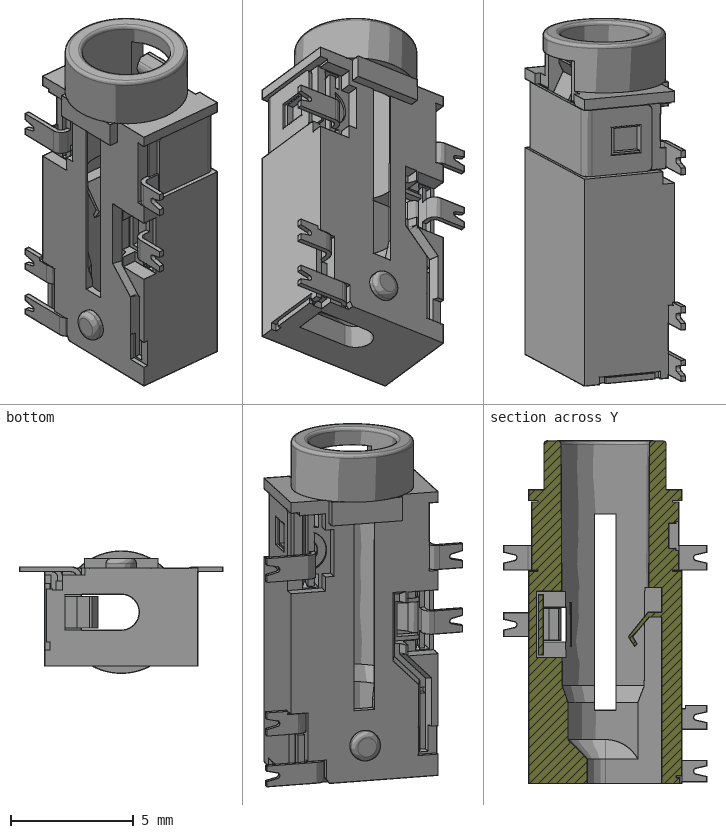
import cadquery as cq
import math


HALF_W = 3.125
FRONT_Y = -1.8
BACK_Y = 2.2
TOTAL_H = 14.0
FLANGE_TOP = 12.0
FLANGE_BOTTOM = 11.55
NECK_BOTTOM = 8.67
NECK_HALF_W = 2.75
NECK_BACK_Y = 2.0

COLLAR_R = 2.5
COLLAR_EDGE = 0.15
BORE_R = 1.8
BORE_LOW_R = 1.75
SEAT_R = 1.52
TIP_R = 0.73
SEAT_CONE_TOP = 4.0
SEAT_CONE_BOTTOM = 3.32
TIP_CONE_TOP = 1.8
TIP_CONE_BOTTOM = TIP_CONE_TOP - (SEAT_R - TIP_R)
SLIT_LEFT = -2.3
SLIT_TOP = 8.0

BACK_FLAT_Y = 1.97
BACK_NOTCH_TOP = 13.25
BACK_NOTCH_HALF_W = 2.04
WINDOW_HALF_W = 1.2
WINDOW_BOTTOM = 11.0
WINDOW_START_Y = 1.0

PROUD_Y = -2.2
ROOT_OVERLAP = 0.2
BLOCK_HALF_W = 1.5
BLOCK_BOTTOM = 11.0
PEG_Z = 1.52
PEG_R = 0.62
PEG_EDGE = 0.22
SLOT_HALF_W = 0.435
SLOT_BOTTOM = 3.0
SLOT_END_Y = -1.0

LEAD_IN = 0.17
LEAD_IN_DEPTH = 0.35
LEAD_IN_ANGLE = math.degrees(math.atan(LEAD_IN / LEAD_IN_DEPTH))

SHELF_Y = -1.28
MID_SHELF_Y = -1.15
LOW_SHELF_Y = -1.52
LOW_SLOT_Y = -0.9

CHANNEL_LEFT = 1.2
CHANNEL_RIGHT = 1.76
CHANNEL_TOP = 7.88
CHANNEL_BOTTOM = 0.9
CHANNEL_BEND_Z = 5.0
CHANNEL_JOG = 1.09

CLIP_X = 3.0
CLIP_BACK_Y = 2.15
CLIP_FRONT_Y = -0.84
CLIP_LEG_X = 2.85
CLIP_HOOK_TOP = 9.6
CLIP_BOTTOM = 8.72
CLIP_TOP = 11.5
CLIP_BACK_BEND_R = 0.35
CLIP_CORNER_R = 0.2

SHEET = 0.2
PIN_REACH = 4.15
PIN_FRONT_Y = -1.85
BEND_R = 0.42
FORK_HALF_W = 0.22
FORK_ROOT_HALF_W = 0.12
FORK_STRAIGHT = 0.42
FORK_DEPTH = 0.54
LEG_END_Y = 0.1
UPPER_PIN_Z = (8.72, 9.73)
UPPER_LEFT_LEG_X = 1.98
UPPER_RIGHT_LEG_X = 2.74
MID_PIN_Z = (6.0, 6.98)
MID_LEG_X = 2.53
LOW_PIN_Z = (2.22, 3.2)
LOW_LEG_X = 2.4
BOTTOM_PIN_Z = (0.07, 0.95)
BOTTOM_LEG_X = 1.62


def box(x0, x1, y0, y1, z0, z1):
    """Axis-aligned block between two opposite corners."""
    return cq.Workplane("XY").box(x1 - x0, y1 - y0, z1 - z0, centered=False).translate((x0, y0, z0))


def front_prism(points, y0, y1):
    """Extrude an X-Z outline between two Y positions."""
    return cq.Workplane("XZ", origin=(0, y1, 0)).polyline(points).close().extrude(y1 - y0)


def front_disc(x, z, radius, y0, y1):
    """Cylinder along Y between two Y positions."""
    return cq.Workplane("XZ", origin=(x, y1, z)).circle(radius).extrude(y1 - y0)


def lead_in(points, face_y):
    """Recess with sloping sides sunk from face_y, following an X-Z outline."""
    outline = cq.Workplane("XZ", origin=(0, face_y, 0)).polyline(points).close()
    return outline.extrude(-LEAD_IN_DEPTH, taper=LEAD_IN_ANGLE)


def slot_lead_in(x0, x1, z0, z1, face_y):
    """Rectangular recess with sloping sides."""
    return lead_in([(x0, z0), (x1, z0), (x1, z1), (x0, z1)], face_y)


def make_shell():
    """Main block, necked-in clip seat, flange, collar, front block and peg, before boring."""
    shell = box(-HALF_W, HALF_W, FRONT_Y, BACK_Y, 0, FLANGE_TOP)
    neck_band = box(-HALF_W, HALF_W, FRONT_Y, BACK_Y, NECK_BOTTOM, FLANGE_BOTTOM)
    neck = box(-NECK_HALF_W, NECK_HALF_W, FRONT_Y, NECK_BACK_Y, NECK_BOTTOM, FLANGE_BOTTOM)
    shell = shell.cut(neck_band.cut(neck))

    collar = cq.Workplane("XY").workplane(offset=FLANGE_TOP).circle(COLLAR_R).extrude(TOTAL_H - FLANGE_TOP)
    collar = collar.faces(">Z").edges().fillet(COLLAR_EDGE)

    root_y = FRONT_Y + ROOT_OVERLAP
    block = box(-BLOCK_HALF_W, BLOCK_HALF_W, PROUD_Y, root_y, BLOCK_BOTTOM, FLANGE_TOP)
    peg = front_disc(0, PEG_Z, PEG_R, PROUD_Y, root_y)
    peg = peg.faces("<Y").edges().fillet(PEG_EDGE)
    return shell.union(collar).union(block).union(peg)


def cut_bore(body):
    """Stepped plug bore with a rounded mouth, and the side slit and funnel at its lower end."""
    bore = (
        cq.Workplane("XZ")
        .moveTo(0, TOTAL_H)
        .lineTo(BORE_R + COLLAR_EDGE, TOTAL_H)
        .radiusArc((BORE_R, TOTAL_H - COLLAR_EDGE), -COLLAR_EDGE)
        .lineTo(BORE_LOW_R, SEAT_CONE_TOP)
        .lineTo(SEAT_R, SEAT_CONE_BOTTOM)
        .lineTo(SEAT_R, TIP_CONE_TOP)
        .lineTo(TIP_R, TIP_CONE_BOTTOM)
        .lineTo(TIP_R, 0)
        .lineTo(0, 0)
        .close()
        .revolve(360, (0, 0, 0), (0, 1, 0))
    )
    funnel_profile = [
        (-SEAT_R, TIP_CONE_TOP),
        (-TIP_R, TIP_CONE_BOTTOM),
        (TIP_R, TIP_CONE_BOTTOM),
        (SEAT_R, TIP_CONE_TOP),
    ]
    funnel = cq.Workplane("YZ", origin=(-SEAT_R, 0, 0)).polyline(funnel_profile).close().extrude(SEAT_R)
    seat = cq.Workplane("XY").circle(SEAT_R).extrude(TIP_CONE_TOP)
    slit = box(SLIT_LEFT, 0, -TIP_R, TIP_R, 0, SLIT_TOP)
    return body.cut(bore).cut(funnel.intersect(seat)).cut(slit)


def cut_bore_openings(body):
    """Long slot through the front wall, and the flat and window at the back of the collar."""
    slot = box(-SLOT_HALF_W, SLOT_HALF_W, FRONT_Y, SLOT_END_Y, SLOT_BOTTOM, BLOCK_BOTTOM)
    notch_w = BACK_NOTCH_HALF_W
    notch = box(-notch_w, notch_w, BACK_FLAT_Y, COLLAR_R, FLANGE_BOTTOM, BACK_NOTCH_TOP)
    window_w = WINDOW_HALF_W
    window = box(-window_w, window_w, WINDOW_START_Y, COLLAR_R, WINDOW_BOTTOM, BACK_NOTCH_TOP)
    return body.cut(slot).cut(notch).cut(window)


def cut_upper_left_pocket(body):
    """Stepped pocket around the upper left contact, with a two-step dimple in its side bay."""
    z_bottom = 8.15
    z_top = 11.42
    right_x = -1.66
    pocket = box(-HALF_W, right_x, FRONT_Y, SHELF_Y, z_bottom, z_top)
    bay_right_x = -1.29
    bay_z = (8.75, 10.73)
    bay = box(-UPPER_LEFT_LEG_X, bay_right_x, FRONT_Y, SHELF_Y, *bay_z)
    body = body.cut(pocket).cut(bay)

    dimple_x = -2.28
    dimple_z = 9.74
    dimple_steps = [(0.82, 0.1), (0.47, 0.2)]
    for radius, depth in dimple_steps:
        dimple = front_disc(dimple_x, dimple_z, radius, SHELF_Y, SHELF_Y + depth)
        body = body.cut(dimple.intersect(bay.translate((0, depth, 0))))

    slot_x = (-2.49, -1.8)
    slot_margin = 0.05
    slot = slot_lead_in(*slot_x, z_bottom + slot_margin, z_top - slot_margin, SHELF_Y)
    return body.cut(slot.cut(bay.translate((0, LEAD_IN_DEPTH, 0))))


def cut_lower_left_pockets(body):
    """Corner recesses for the two lower left pins, with a narrow slot for the contact leg."""
    low_top = 3.05
    bottom_top = 1.0
    slot_left_x = -2.86
    low = box(-HALF_W, -LOW_LEG_X, FRONT_Y, LOW_SHELF_Y, 0, low_top)
    slot = box(slot_left_x, -LOW_LEG_X, FRONT_Y, LOW_SLOT_Y, 0, low_top)
    bottom = box(-HALF_W, -BOTTOM_LEG_X, FRONT_Y, LOW_SHELF_Y, 0, bottom_top)
    relief_w = 0.14
    relief_h = 0.2
    relief_outline = [(-BOTTOM_LEG_X, 0), (relief_w - BOTTOM_LEG_X, 0), (-BOTTOM_LEG_X, relief_h)]
    relief = front_prism(relief_outline, FRONT_Y, LOW_SHELF_Y)
    return body.cut(low).cut(slot).cut(bottom).cut(relief)


def add_foot(body):
    """Recess at the bottom of the left side, with a slightly sunken foot plate in it."""
    recess = box(-HALF_W, -2.9, -1.17, 1.54, 0, 0.32)
    foot = box(-3.05, -2.8, -0.95, 1.22, 0, 0.25)
    return body.cut(recess).union(foot)


def channel_outline():
    """Cranked X-Z outline: down, 45 degrees to the right, then down again at constant width."""
    miter = math.tan(math.radians(22.5))
    right_bend_z = CHANNEL_BEND_Z + miter * (CHANNEL_RIGHT - CHANNEL_LEFT)
    return [
        (CHANNEL_LEFT, CHANNEL_TOP),
        (CHANNEL_LEFT, CHANNEL_BEND_Z),
        (CHANNEL_LEFT + CHANNEL_JOG, CHANNEL_BEND_Z - CHANNEL_JOG),
        (CHANNEL_LEFT + CHANNEL_JOG, CHANNEL_BOTTOM),
        (CHANNEL_RIGHT + CHANNEL_JOG, CHANNEL_BOTTOM),
        (CHANNEL_RIGHT + CHANNEL_JOG, right_bend_z - CHANNEL_JOG),
        (CHANNEL_RIGHT, right_bend_z),
        (CHANNEL_RIGHT, CHANNEL_TOP),
    ]


def cut_right_channel(body):
    """Cranked channel on the right, a small hole in its floor, and its open lower corner."""
    floor_y = FRONT_Y + LEAD_IN_DEPTH
    lower_left_x = CHANNEL_LEFT + CHANNEL_JOG
    lower_right_x = CHANNEL_RIGHT + CHANNEL_JOG
    hole_z = (3.43, 3.68)
    hole_depth = 0.3
    hole = box(lower_left_x + LEAD_IN, lower_right_x - LEAD_IN, floor_y, floor_y + hole_depth, *hole_z)
    corner_top = 2.1
    corner_depth = 0.2
    corner = box(lower_left_x, HALF_W, FRONT_Y, FRONT_Y + corner_depth, CHANNEL_BOTTOM, corner_top)
    return body.cut(lead_in(channel_outline(), FRONT_Y)).cut(hole).cut(corner)


def cut_mid_right_pocket(body):
    """Stepped pocket around the middle right contact, broken through into the bore."""
    z_bottom = 5.15
    z_top = 7.85
    pocket = box(1.84, HALF_W, FRONT_Y, MID_SHELF_Y, z_bottom, z_top)
    slot_margin = 0.04
    slot = slot_lead_in(2.36, 2.94, z_bottom + slot_margin, z_top - slot_margin, MID_SHELF_Y)
    bay_step = 0.1
    bay = box(1.39, MID_LEG_X, FRONT_Y, MID_SHELF_Y + bay_step, 5.61, 7.39)
    cavity_back_y = 1.0
    arm_window = box(1.6, MID_LEG_X, FRONT_Y, cavity_back_y, 5.79, 7.2)
    cavity = box(1.3, 2.8, -0.7, cavity_back_y, z_bottom, z_top)
    body = body.cut(pocket)
    body = body.cut(slot.cut(bay.translate((0, LEAD_IN_DEPTH, 0))))
    return body.cut(bay).cut(arm_window).cut(cavity)


def make_tongue():
    """Spring tongue rising from the clip back, bulging into the bore mouth."""
    half_w = 0.78
    z_root = 11.1
    z_tip = 12.88
    corner = 0.22
    profile = (
        cq.Workplane("YZ", origin=(-half_w, 0, 0))
        .moveTo(2.1, z_root)
        .lineTo(1.95, z_root)
        .lineTo(1.33, 12.0)
        .threePointArc((1.28, 12.25), (1.38, 12.5))
        .lineTo(1.62, z_tip)
        .lineTo(1.78, z_tip)
        .lineTo(1.5, 12.3)
        .close()
        .extrude(2 * half_w)
    )
    outline = [
        (-half_w, z_root),
        (half_w, z_root),
        (half_w, z_tip - corner),
        (half_w - corner, z_tip),
        (corner - half_w, z_tip),
        (-half_w, z_tip - corner),
    ]
    return profile.intersect(front_prism(outline, 0, BACK_Y))


def make_clip():
    """U-shaped steel clip round the neck, thinner at its front edges, with a hook and a tongue."""
    clip = box(-CLIP_X, CLIP_X, CLIP_FRONT_Y, CLIP_BACK_Y, CLIP_BOTTOM, CLIP_TOP)
    clip = clip.edges("|Z and >Y").fillet(CLIP_BACK_BEND_R)
    clip = clip.edges("|X and <Y").fillet(CLIP_CORNER_R)
    clip = clip.union(box(-CLIP_LEG_X, CLIP_LEG_X, SHELF_Y, 0, CLIP_BOTTOM, CLIP_TOP))
    clip = clip.cut(box(-NECK_HALF_W, NECK_HALF_W, SHELF_Y, NECK_BACK_Y, CLIP_BOTTOM, CLIP_TOP))
    hook = box(-CLIP_LEG_X, -NECK_HALF_W, LOW_SHELF_Y, 0, CLIP_BOTTOM, CLIP_HOOK_TOP)
    return clip.union(hook).union(make_tongue())


def cut_clip_window(body):
    """Square window in the left clip leg, with a smaller deeper pocket behind it."""
    front_y = -0.35
    window = box(-CLIP_X, -2.88, front_y, 0.95, 9.52, 10.7)
    pocket = box(-CLIP_X, -2.6, front_y, 0.78, 9.6, 10.62)
    return body.cut(window).cut(pocket)


def make_pin(side, face_x, z_range, leg_y):
    """Forked solder pin bent from a leg that runs back to leg_y; side is -1 for left, +1 for right.

    face_x is the distance from the mid-plane to the nearer face of the leg."""
    z0, z1 = z_range
    bend_x = face_x + BEND_R
    bend_y = PIN_FRONT_Y + BEND_R
    inner_r = BEND_R - SHEET
    strip = (
        cq.Workplane("XY", origin=(0, 0, z0))
        .moveTo(PIN_REACH, PIN_FRONT_Y)
        .lineTo(bend_x, PIN_FRONT_Y)
        .radiusArc((face_x, bend_y), BEND_R)
        .lineTo(face_x, leg_y)
        .lineTo(face_x + SHEET, leg_y)
        .lineTo(face_x + SHEET, bend_y)
        .radiusArc((bend_x, bend_y - inner_r), -inner_r)
        .lineTo(PIN_REACH, bend_y - inner_r)
        .close()
        .extrude(z1 - z0)
    )
    mid_z = (z0 + z1) / 2
    root_x = PIN_REACH - FORK_STRAIGHT
    fork = (
        cq.Workplane("XZ")
        .moveTo(PIN_REACH, mid_z - FORK_HALF_W)
        .lineTo(root_x, mid_z - FORK_ROOT_HALF_W)
        .threePointArc((PIN_REACH - FORK_DEPTH, mid_z), (root_x, mid_z + FORK_ROOT_HALF_W))
        .lineTo(PIN_REACH, mid_z + FORK_HALF_W)
        .close()
        .extrude(-PIN_FRONT_Y)
    )
    pin = strip.cut(fork)
    return pin if side > 0 else pin.mirror("YZ")


def make_upper_contacts():
    """Upper left contact with its tall leg plate, and the upper right pin of the clip."""
    left = make_pin(-1, UPPER_LEFT_LEG_X, UPPER_PIN_Z, LEG_END_Y)
    plate_left_x = -2.26
    plate_z = (8.25, 11.27)
    plate = box(plate_left_x, -UPPER_LEFT_LEG_X, SHELF_Y, LEG_END_Y, *plate_z)
    right_leg_y = -0.5
    right = make_pin(1, UPPER_RIGHT_LEG_X, UPPER_PIN_Z, right_leg_y)
    return left.union(plate).union(right)


def make_mid_contact():
    """Middle right contact: pin, leg plate and a spring arm bent towards the bore."""
    leg_back_x = MID_LEG_X + SHEET
    pin = make_pin(1, MID_LEG_X, MID_PIN_Z, LEG_END_Y)
    plate_z = (5.25, 7.72)
    plate = box(MID_LEG_X, leg_back_x, MID_SHELF_Y, LEG_END_Y, *plate_z)

    arm_bottom = 5.85
    arm_height = 1.3
    arm_bend_r = 0.33
    arm_y = -0.57
    arm_tip_x = 1.8
    arm = (
        cq.Workplane("XY", origin=(0, 0, arm_bottom))
        .moveTo(MID_LEG_X, arm_y - arm_bend_r)
        .radiusArc((MID_LEG_X - arm_bend_r, arm_y), arm_bend_r)
        .lineTo(arm_tip_x, arm_y + 0.35)
        .lineTo(arm_tip_x + 0.1, arm_y + 0.52)
        .lineTo(arm_tip_x + 0.5, arm_y + SHEET)
        .lineTo(leg_back_x, arm_y + SHEET)
        .lineTo(leg_back_x, arm_y - arm_bend_r)
        .close()
        .extrude(arm_height)
    )
    return pin.union(plate).union(arm)


def make_lower_contacts():
    """Lower left pin with its notched shoulder and leg plate, and the bottom left pin."""
    leg_y = -0.8
    low = make_pin(-1, LOW_LEG_X, LOW_PIN_Z, leg_y)
    shoulder_x = -3.27
    shoulder_z = 3.06
    low = low.cut(box(shoulder_x, 0, PIN_FRONT_Y, 0, shoulder_z, LOW_PIN_Z[1]))
    plate = box(-2.67, -2.3, SHELF_Y, leg_y, 0.3, 2.0)
    bottom_leg_y = -1.4
    bottom = make_pin(-1, BOTTOM_LEG_X, BOTTOM_PIN_Z, bottom_leg_y)
    return low.union(plate).union(bottom)


def make_tip_arm():
    """Bent spring arm reaching from the end of the side slit into the bore."""
    half_w = 0.65
    root_x = SLIT_LEFT - 0.1
    profile = [
        (root_x, 7.0),
        (-1.75, 7.0),
        (-0.94, 6.0),
        (-1.2, 5.6),
        (-1.3, 5.7),
        (-1.12, 6.0),
        (-1.8, 6.8),
        (root_x, 6.8),
    ]
    return front_prism(profile, -half_w, half_w)


housing = cut_bore(make_shell())
housing = cut_bore_openings(housing)
housing = cut_upper_left_pocket(housing)
housing = cut_lower_left_pockets(housing)
housing = add_foot(housing)
housing = cut_right_channel(housing)
housing = cut_mid_right_pocket(housing)

result = cut_clip_window(housing.union(make_clip()))
result = result.union(make_upper_contacts())
result = result.union(make_mid_contact())
result = result.union(make_lower_contacts())
result = result.union(make_tip_arm())